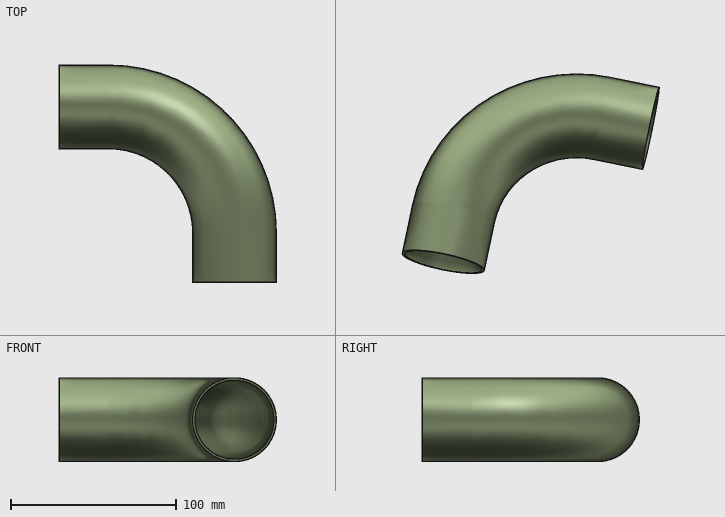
import cadquery as cq

overall_length = 131.6
outer_diameter = 50.8
inner_diameter = 47.8
bend_radius = 76.2

outer_radius = outer_diameter / 2
straight_length = overall_length - bend_radius - outer_radius


def elbow(diameter):
    """Solid elbow: a straight along X, a quarter bend, then a straight along -Y.

    The bend is centred on the origin and the centreline lies in the XY plane.
    """
    radius = diameter / 2
    inlet = (
        cq.Workplane("YZ", origin=(-straight_length, bend_radius, 0))
        .circle(radius)
        .extrude(straight_length)
    )
    bend = (
        cq.Workplane("XZ")
        .center(bend_radius, 0)
        .circle(radius)
        .revolve(90, (-bend_radius, 0), (-bend_radius, 1))
    )
    outlet = (
        cq.Workplane("XZ", origin=(bend_radius, 0, 0))
        .circle(radius)
        .extrude(straight_length)
    )
    return inlet.union(bend).union(outlet)


result = elbow(outer_diameter).cut(elbow(inner_diameter))